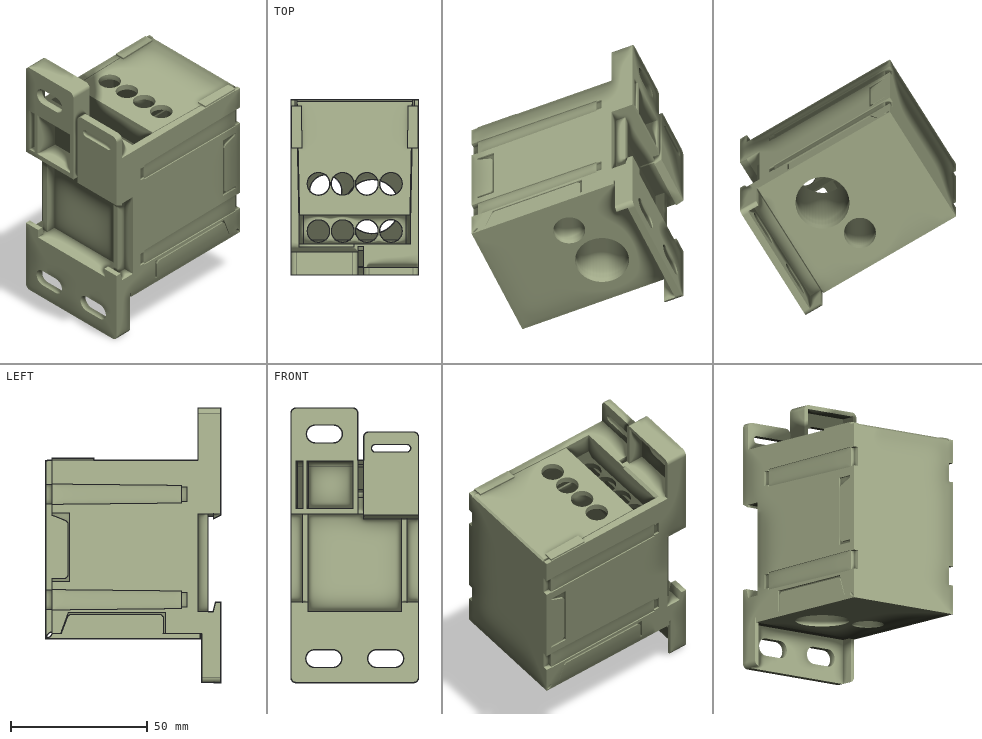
import cadquery as cq

WIDTH = 46.9
DEPTH = 64.3
HEIGHT = 100.8
HALF = WIDTH / 2
CORNER_RADIUS = 2.0

BODY_FRONT = 8.5
COVER_THICKNESS = 2.3
BODY_BACK = DEPTH - COVER_THICKNESS
BODY_TOP = 81.6
COVER_FLOOR_Z = 16.1
BODY_BOTTOM = 18.0
RAIL_TOP = 61.9
RAIL_BOTTOM = 26.1

FLANGE_THICKNESS = 7.1
HOOK_TOP = 29.5
HOOK_WIDTH = 6.4
HOOK_TIP_THICKNESS = 2.0
HOOK_ROOT_THICKNESS = 2.9
SLOT_WALL = 2.6
HOLLOW_WALL = 1.5
SLOT_LENGTH = 13.1
SLOT_WIDTH = 6.5
LOWER_SLOT_Z = 8.9
LOWER_SLOT_PITCH = 22.7

PAD_FRONT = 4.7
PAD_OUTER = 4.2
PAD_INNER = HOOK_WIDTH

TAB_WIDTH = 24.6
TAB_SLOT_Z = 91.2
POCKET_DEPTH = 8.7
POCKET_BOTTOM = 63.9
POCKET_TOP = 81.3
POCKET_DRAFT = 0.6
WIDE_POCKET = (5.9, 22.9)
NARROW_POCKET = (1.9, 4.4)

CLIP_LEFT = 3.2
CLIP_THICKNESS = 2.8
CLIP_TOP = 92.0
CLIP_BOTTOM = 60.1
CLIP_EDGE_RISE = 1.4
CLIP_SLOT_LENGTH = 14.3
CLIP_SLOT_WIDTH = 2.7
CLIP_SLOT_Z = 86.0
BACKING_BOTTOM = 61.0

CHANNEL_STEPS = [(2.8, 67.9), (3.1, 67.9), (3.1, 70.0), (9.1, 71.0), (9.1, 79.1), (10.5, 80.0)]

PANEL_THICKNESS = 2.2
PANEL_UNDERSIDE = BODY_TOP - PANEL_THICKNESS
PANEL_GAP = 0.3
PANEL_EDGE_BEVEL = 0.7
WALL_FRONT = 2.9
WALL_BACK = 2.0
RIM_BACK = 11.3
RECESS_BACK = 22.0
RECESS_FLOOR = 71.6
FLOOR_UNDERSIDE = RECESS_FLOOR - PANEL_THICKNESS
STEP_WALL_BACK = RECESS_BACK + PANEL_THICKNESS
RECESS_CHAMFER = 1.7
CAVITY_HALF = HALF - WALL_FRONT - RECESS_CHAMFER
RECESS_RIM_BEVEL = 1.0
RECESS_BEVEL_END = 23.1
TERMINAL_RADIUS = 4.1
TERMINAL_PITCH = 8.9
TERMINAL_COUNT = 4
REAR_ROW_Y = 33.5
FRONT_ROW_Y = 16.1
LEDGE_FRONT = 46.6
LEDGE_TOP = 82.4
LEDGE_INSET = 0.3
LEDGE_WIDTH_BACK = 3.8
LEDGE_WIDTH_FRONT = 4.1

CAVITY_FRONT = 12.9
CAVITY_BACK = 40.8
CAVITY_BOTTOM = 60.5
PARTITION_THICKNESS = 0.7
RIB_TOP = 76.6
CABLE_BORES = ((12.8, 30.8, 5.8), (29.8, 25.1, 9.9))

GROOVE_DEPTH = 0.4
GROOVE_FRONT = 14.5
GROOVE_HALF_BACK = 3.7
GROOVE_HALF_FRONT = 3.2
GROOVE_HEIGHTS = (69.1, 30.4)
CATCH_FRONT = 12.5
CATCH_HALF = 2.6
CATCH_DEPTH = 0.8
NOTCH_HALF = 3.5
NOTCH_DEPTH = 1.8

FLAP_THICKNESS = 0.8
REAR_FLAP = [
    (BODY_BACK, 61.5), (56.8, 59.4), (56.0, 58.5),
    (56.0, 39.2), (57.1, 38.2), (BODY_BACK, 38.2),
]
REAR_FLAP_RECESS = [(BODY_BACK, 37.2), (55.4, 37.2), (55.4, 62.3), (BODY_BACK, 62.3)]
LOWER_FLAP = [
    (58.6, BODY_BOTTOM), (56.1, 24.4), (55.2, 25.1),
    (22.1, 25.1), (21.1, 24.1), (21.1, BODY_BOTTOM),
]
LOWER_FLAP_RECESS = [(58.8, BODY_BOTTOM), (55.9, 25.8), (20.3, 25.8), (20.3, BODY_BOTTOM)]
COVER_FRONT = 7.6
COVER_TOP = 81.4
COVER_CORNER_BEVEL = 0.7
HINGE_LONG_RADIUS = 1.2
HINGE_SHORT_RADIUS = 0.6
HINGE_INSET = 1.4
HINGE_ANGLE = -45


def block(x, y, z):
    """Box spanning the given (low, high) pairs."""
    size = [high - low for low, high in (x, y, z)]
    return cq.Workplane("XY").box(*size, centered=False).translate((x[0], y[0], z[0]))


def side_prism(points, x_low, x_high):
    """Outline in (Y, Z) extruded along X."""
    return cq.Workplane("YZ", origin=(x_low, 0, 0)).polyline(points).close().extrude(x_high - x_low)


def both_sides(shape):
    """The shape joined with its mirror image in the plane X = 0."""
    return shape.union(shape.mirror("YZ"))


def slot_cutter(x, z, length, width, depth):
    """Round-ended slot along X, cut from the mounting face into +Y."""
    return cq.Workplane("XZ", origin=(x, 0, z)).slot2D(length, width).extrude(-depth)


def bores(bottom, top):
    """Vertical cable bores, placed from the left side of the part."""
    cutter = cq.Workplane("XY")
    for left, y, radius in CABLE_BORES:
        bore = cq.Workplane("XY", origin=(left - HALF, y, bottom)).circle(radius).extrude(top - bottom)
        cutter = cutter.union(bore)
    return cutter


def make_flange():
    """Lower mounting flange, hollow behind its slotted front wall, with the two rail hooks."""
    flange = block((-HALF, HALF), (0, FLANGE_THICKNESS), (0, RAIL_BOTTOM))
    flange = flange.edges("|Y and <Z").fillet(CORNER_RADIUS)
    flange = flange.union(block((-HALF, HALF), (0, BODY_FRONT), (BODY_BOTTOM, RAIL_BOTTOM)))
    hollow = block(
        (-HALF + HOLLOW_WALL, HALF - HOLLOW_WALL),
        (SLOT_WALL, FLANGE_THICKNESS),
        (0, BODY_BOTTOM - HOLLOW_WALL),
    )
    flange = flange.cut(hollow)
    hook_outline = [
        (0, RAIL_BOTTOM), (0, HOOK_TOP),
        (HOOK_TIP_THICKNESS, HOOK_TOP), (HOOK_ROOT_THICKNESS, RAIL_BOTTOM),
    ]
    hook = side_prism(hook_outline, -HALF, -HALF + HOOK_WIDTH)
    flange = flange.union(both_sides(hook))
    for x in (-LOWER_SLOT_PITCH / 2, LOWER_SLOT_PITCH / 2):
        flange = flange.cut(slot_cutter(x, LOWER_SLOT_Z, SLOT_LENGTH, SLOT_WIDTH, FLANGE_THICKNESS))
    return flange


def tab_pocket(left, right):
    """Tab pocket with a drafted left wall and a rounded upper rear edge."""
    x_left = left - HALF
    x_right = right - HALF
    outline = [(x_left, 0), (x_right, 0), (x_right, POCKET_DEPTH), (x_left + POCKET_DRAFT, POCKET_DEPTH)]
    pocket = cq.Workplane("XY", origin=(0, 0, POCKET_BOTTOM)).polyline(outline).close()
    pocket = pocket.extrude(POCKET_TOP - POCKET_BOTTOM)
    return pocket.edges(">Y and >Z").fillet(CORNER_RADIUS)


def make_tab():
    """Upper mounting tab, hollow behind its slotted front wall."""
    tab = block((-HALF, -HALF + TAB_WIDTH), (0, BODY_FRONT), (RAIL_TOP, HEIGHT))
    tab = tab.edges("|Y and >Z").fillet(CORNER_RADIUS)
    hollow = block(
        (-HALF + HOLLOW_WALL, -HALF + TAB_WIDTH - HOLLOW_WALL),
        (SLOT_WALL, BODY_FRONT),
        (BODY_TOP, HEIGHT - HOLLOW_WALL),
    )
    tab = tab.cut(hollow)
    slot_x = -HALF + TAB_WIDTH / 2
    return tab.cut(slot_cutter(slot_x, TAB_SLOT_Z, SLOT_LENGTH, SLOT_WIDTH, BODY_FRONT))


def add_clip_backing(housing):
    """Housing front behind the clip, with the stepped channel beside the tab."""
    channel_left = -HALF + TAB_WIDTH
    step_front = CHANNEL_STEPS[0][0]
    step_back = CHANNEL_STEPS[-1][0]
    outline = [
        (RIM_BACK, RAIL_TOP), (step_front, RAIL_TOP), *CHANNEL_STEPS,
        (step_back, BODY_TOP), (RIM_BACK, BODY_TOP),
    ]
    housing = housing.cut(block((channel_left, CLIP_LEFT), (0, RIM_BACK), (RAIL_TOP, BODY_TOP)))
    housing = housing.union(side_prism(outline, channel_left, CLIP_LEFT))
    return housing.union(block((CLIP_LEFT, HALF), (CLIP_THICKNESS, BODY_FRONT), (BACKING_BOTTOM, BODY_TOP)))


def tapered_panel(gap):
    """Panel-thick slab that narrows towards the front, set in from the side walls by the gap."""
    half_front = HALF - WALL_FRONT - gap
    half_back = HALF - WALL_BACK - gap
    outline = [
        (-half_front, RECESS_BACK), (half_front, RECESS_BACK),
        (half_back, DEPTH), (-half_back, DEPTH),
    ]
    slab = cq.Workplane("XY", origin=(0, 0, PANEL_UNDERSIDE)).polyline(outline).close()
    return slab.extrude(PANEL_THICKNESS)


def carrier_step():
    """Lower floor and step wall of the carrier."""
    sides = (-CAVITY_HALF, CAVITY_HALF)
    floor = block(sides, (RIM_BACK, STEP_WALL_BACK), (FLOOR_UNDERSIDE, RECESS_FLOOR))
    return floor.union(block(sides, (RECESS_BACK, STEP_WALL_BACK), (FLOOR_UNDERSIDE, BODY_TOP)))


def terminal_recess():
    """Deep recess in front of the panel, with chamfered lower side edges and a bevelled front rim."""
    half_top = HALF - WALL_FRONT
    half_floor = half_top - RECESS_CHAMFER
    outline = [
        (-half_floor, RECESS_FLOOR), (half_floor, RECESS_FLOOR),
        (half_top, RECESS_FLOOR + RECESS_CHAMFER), (half_top, BODY_TOP),
        (-half_top, BODY_TOP), (-half_top, RECESS_FLOOR + RECESS_CHAMFER),
    ]
    recess = cq.Workplane("XZ", origin=(0, RIM_BACK, 0)).polyline(outline).close()
    recess = recess.extrude(RIM_BACK - RECESS_BACK)
    rim_bevel = [
        (RIM_BACK, BODY_TOP - RECESS_RIM_BEVEL),
        (RIM_BACK - RECESS_RIM_BEVEL, BODY_TOP),
        (RIM_BACK, BODY_TOP),
    ]
    bevel = side_prism(rim_bevel, -half_top, -HALF + RECESS_BEVEL_END)
    return recess.union(bevel)


def terminal_holes(y, bottom, top):
    """One row of vertical terminal holes."""
    row = cq.Workplane("XY", origin=(0, y, bottom)).rarray(TERMINAL_PITCH, 1, TERMINAL_COUNT, 1)
    return row.circle(TERMINAL_RADIUS).extrude(top - bottom)


def terminal_cavity():
    """Chamber under the carrier, with a full partition at its middle and a lower rib on its right."""
    sides = (-CAVITY_HALF, CAVITY_HALF)
    cavity = block(sides, (CAVITY_FRONT, CAVITY_BACK), (CAVITY_BOTTOM, FLOOR_UNDERSIDE))
    cavity = cavity.union(block(sides, (STEP_WALL_BACK, CAVITY_BACK), (CAVITY_BOTTOM, PANEL_UNDERSIDE)))
    for x, top in ((0, PANEL_UNDERSIDE), (TERMINAL_PITCH, RIB_TOP)):
        thickness = (x - PARTITION_THICKNESS / 2, x + PARTITION_THICKNESS / 2)
        front_part = block(thickness, (CAVITY_FRONT, STEP_WALL_BACK), (CAVITY_BOTTOM, FLOOR_UNDERSIDE))
        rear_part = block(thickness, (STEP_WALL_BACK, CAVITY_BACK), (CAVITY_BOTTOM, top))
        cavity = cavity.cut(front_part).cut(rear_part)
    return cavity


def top_ledge():
    """Raised ledge on the left wall that holds the panel down at the back."""
    outline = [
        (-HALF + LEDGE_INSET, LEDGE_FRONT), (-HALF + LEDGE_WIDTH_FRONT, LEDGE_FRONT),
        (-HALF + LEDGE_WIDTH_BACK, BODY_BACK), (-HALF + LEDGE_INSET, BODY_BACK),
    ]
    return cq.Workplane("XY", origin=(0, 0, BODY_TOP)).polyline(outline).close().extrude(LEDGE_TOP - BODY_TOP)


def guide_groove(middle):
    """Tapered groove in the left side, ending in a narrower, deeper catch pocket."""
    outline = [
        (BODY_BACK, middle - GROOVE_HALF_BACK), (BODY_BACK, middle + GROOVE_HALF_BACK),
        (GROOVE_FRONT, middle + GROOVE_HALF_FRONT), (GROOVE_FRONT, middle - GROOVE_HALF_FRONT),
    ]
    groove = side_prism(outline, -HALF, -HALF + GROOVE_DEPTH)
    catch = block(
        (-HALF, -HALF + CATCH_DEPTH),
        (CATCH_FRONT, GROOVE_FRONT),
        (middle - CATCH_HALF, middle + CATCH_HALF),
    )
    return groove.union(catch)


def make_housing():
    """Main body with the mounting flange and tab, the carrier seat and the side recesses."""
    housing = block((-HALF, HALF), (BODY_FRONT, BODY_BACK), (BODY_BOTTOM, BODY_TOP))
    housing = add_clip_backing(housing)
    housing = housing.union(make_flange()).union(make_tab())
    pad = block((-HALF + PAD_OUTER, -HALF + PAD_INNER), (PAD_FRONT, BODY_FRONT), (RAIL_BOTTOM, RAIL_TOP))
    housing = housing.union(both_sides(pad))

    housing = housing.cut(tapered_panel(0)).cut(terminal_recess()).cut(carrier_step())
    housing = housing.union(both_sides(top_ledge()))
    housing = housing.cut(tab_pocket(*WIDE_POCKET)).cut(tab_pocket(*NARROW_POCKET))

    housing = housing.cut(terminal_cavity()).cut(bores(BODY_BOTTOM, CAVITY_BOTTOM))

    for middle in GROOVE_HEIGHTS:
        housing = housing.cut(both_sides(guide_groove(middle)))
    for outline in (REAR_FLAP_RECESS, LOWER_FLAP_RECESS):
        housing = housing.cut(both_sides(side_prism(outline, -HALF, -HALF + FLAP_THICKNESS)))
    return housing


def make_cover():
    """Back plate and bottom plate joined at a thin hinge, with a pair of flaps on each plate."""
    back_plate = block((-HALF, HALF), (BODY_BACK, DEPTH), (COVER_FLOOR_Z, COVER_TOP))
    half_rebate = HALF - WALL_BACK - PANEL_GAP
    rebate_outline = [
        (-half_rebate, PANEL_UNDERSIDE), (half_rebate, PANEL_UNDERSIDE),
        (half_rebate, COVER_TOP - COVER_CORNER_BEVEL), (half_rebate + COVER_CORNER_BEVEL, COVER_TOP),
        (-half_rebate - COVER_CORNER_BEVEL, COVER_TOP), (-half_rebate, COVER_TOP - COVER_CORNER_BEVEL),
    ]
    rebate = cq.Workplane("XZ", origin=(0, BODY_BACK, 0)).polyline(rebate_outline).close()
    rebate = rebate.extrude(-COVER_THICKNESS)
    back_plate = back_plate.cut(rebate)
    for middle in GROOVE_HEIGHTS:
        notch = block(
            (-HALF, -HALF + NOTCH_DEPTH),
            (BODY_BACK, DEPTH),
            (middle - NOTCH_HALF, middle + NOTCH_HALF),
        )
        back_plate = back_plate.cut(both_sides(notch))

    cover = back_plate.union(block((-HALF, HALF), (COVER_FRONT, DEPTH), (COVER_FLOOR_Z, BODY_BOTTOM)))
    for outline in (REAR_FLAP, LOWER_FLAP):
        cover = cover.union(both_sides(side_prism(outline, -HALF, -HALF + FLAP_THICKNESS)))

    hinge = cq.Workplane("YZ", origin=(-HALF, DEPTH - HINGE_INSET, COVER_FLOOR_Z + HINGE_INSET))
    hinge = hinge.transformed(rotate=(0, 0, HINGE_ANGLE))
    hinge = hinge.ellipse(HINGE_LONG_RADIUS, HINGE_SHORT_RADIUS).extrude(WIDTH)
    return cover.cut(hinge).cut(bores(COVER_FLOOR_Z, BODY_BOTTOM))


def make_clip():
    """Slotted slider plate with a sloping lower edge."""
    outline = [
        (0, CLIP_BOTTOM + CLIP_EDGE_RISE), (CLIP_THICKNESS, CLIP_BOTTOM),
        (CLIP_THICKNESS, CLIP_TOP), (0, CLIP_TOP),
    ]
    clip = side_prism(outline, CLIP_LEFT, HALF).edges("|Y and >Z").fillet(CORNER_RADIUS)
    slot_x = (CLIP_LEFT + HALF) / 2
    return clip.cut(slot_cutter(slot_x, CLIP_SLOT_Z, CLIP_SLOT_LENGTH, CLIP_SLOT_WIDTH, CLIP_THICKNESS))


def make_carrier():
    """Stepped terminal carrier with one row of holes in its panel and one in its lower floor."""
    panel = tapered_panel(PANEL_GAP).edges(">Y and >Z").chamfer(PANEL_EDGE_BEVEL)
    carrier = panel.union(carrier_step())
    carrier = carrier.cut(terminal_holes(REAR_ROW_Y, PANEL_UNDERSIDE, BODY_TOP))
    return carrier.cut(terminal_holes(FRONT_ROW_Y, FLOOR_UNDERSIDE, RECESS_FLOOR))


housing = make_housing()
cover = make_cover()
clip = make_clip()
carrier = make_carrier()

result = cq.Compound.makeCompound([body.solids().val() for body in (housing, cover, clip, carrier)])